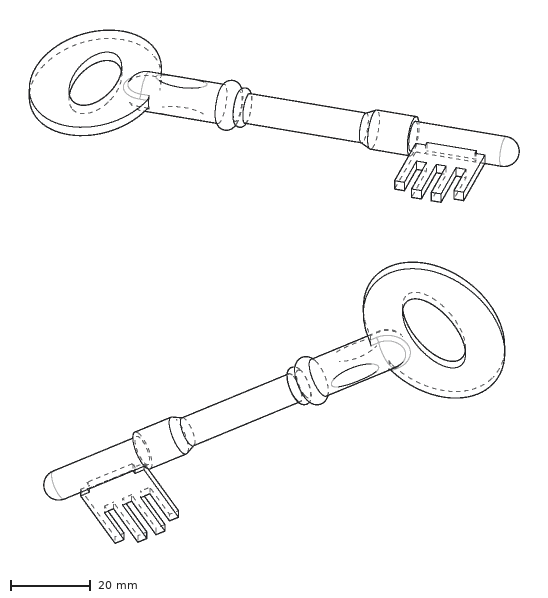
import cadquery as cq
import math

total_length = 127.0
plate_thickness = 2.5

bow_half_width = 15.9
bow_half_height = 23.0
bow_hole_half_width = 5.7
bow_hole_half_height = 12.7

shank_diameter = 10.0
shank_radius = shank_diameter / 2
shaft_radius = 3.8
ball_center_x = 29.2
bead_start = 48.6
bead_width = 4.6
bead_outer_radius = 6.3
small_bead_width = 2.5
collar_cone_start = 86.3
collar_start = 88.9
collar_end = 99.3
tip_center_x = total_length - shaft_radius

bow_fillet_radius = 1.3

facet_center_x = 38.5
facet_length = 13.3
facet_half_length = facet_length / 2
facet_depth = 0.56

bit_start = 101.5
bit_width = 18.2
tooth_count = 4
bit_pitch = bit_width / (2 * tooth_count - 1)
bit_shoulder_y = -4.8
slot_root_y = -12.6
outer_tooth_y = -22.9
inner_tooth_y = -25.3


def bow_outline(half_width, half_height, height):
    """Elliptical plate of the given height, centred on Z = 0."""
    return (
        cq.Workplane("XY", origin=(bow_half_width, 0, -height / 2))
        .ellipse(half_width, half_height)
        .extrude(height)
    )


def make_bow():
    plate = bow_outline(bow_half_width, bow_half_height, plate_thickness)
    return plate.cut(bow_outline(bow_hole_half_width, bow_hole_half_height, plate_thickness))


def make_stem():
    bead_end = bead_start + bead_width
    small_bead_end = bead_end + small_bead_width
    bead_base = bead_outer_radius - bead_width / 2
    small_bead_base = shank_radius - small_bead_width / 2
    ball_offset = shank_radius * math.sqrt(0.5)
    tip_offset = shaft_radius * math.sqrt(0.5)
    profile = (
        cq.Workplane("XY")
        .moveTo(ball_center_x - shank_radius, 0)
        .threePointArc((ball_center_x - ball_offset, ball_offset), (ball_center_x, shank_radius))
        .lineTo(bead_start + bead_width / 2, shank_radius)
        .lineTo(bead_start + bead_width / 2, small_bead_base)
        .lineTo(small_bead_end, small_bead_base)
        .lineTo(small_bead_end, shaft_radius)
        .lineTo(collar_cone_start, shaft_radius)
        .lineTo(collar_start, shank_radius)
        .lineTo(collar_end, shank_radius)
        .lineTo(collar_end, shaft_radius)
        .lineTo(tip_center_x, shaft_radius)
        .threePointArc((tip_center_x + tip_offset, tip_offset), (total_length, 0))
        .close()
    )
    stem = cut_facets(profile.revolve(360, (0, 0, 0), (1, 0, 0)))
    stem = stem.union(make_bead(bead_start, bead_width, bead_base))
    return stem.union(make_bead(bead_end, small_bead_width, small_bead_base))


def make_bead(start, width, base_radius):
    """Disc with a half-round rim."""
    return (
        cq.Workplane("XY")
        .moveTo(start, 0)
        .lineTo(start, base_radius)
        .threePointArc((start + width / 2, base_radius + width / 2), (start + width, base_radius))
        .lineTo(start + width, 0)
        .close()
        .revolve(360, (0, 0, 0), (1, 0, 0))
    )


def fillet_joint(body):
    """Round the corner between shank and bow on both faces of the bow."""
    margin = 0.1
    for face_z in (plate_thickness / 2, -plate_thickness / 2):
        joint_edges = cq.selectors.BoxSelector(
            (ball_center_x - shank_radius, -shank_radius, face_z - margin),
            (2 * bow_half_width, shank_radius, face_z + margin),
        )
        body = body.edges(joint_edges).fillet(bow_fillet_radius)
    return body


def cut_facets(stem):
    """Hollow the top and bottom of the shank with large crosswise cylinders."""
    cutter_radius = (facet_half_length**2 + facet_depth**2) / (2 * facet_depth)
    cutter_z = shank_radius - facet_depth + cutter_radius
    for side in (1, -1):
        cutter = (
            cq.Workplane("XZ")
            .center(facet_center_x, side * cutter_z)
            .circle(cutter_radius)
            .extrude(shank_radius, both=True)
        )
        stem = stem.cut(cutter)
    return stem


def bit_block(start_x, end_x, top_y, bottom_y):
    """Flat block of the bit, as thick as the bow."""
    center = ((start_x + end_x) / 2, (top_y + bottom_y) / 2, 0)
    return cq.Workplane("XY", origin=center).box(end_x - start_x, top_y - bottom_y, plate_thickness)


def make_bit():
    bit_end = bit_start + bit_width
    bit = bit_block(bit_start, bit_end, bit_shoulder_y, slot_root_y)
    bit = bit.union(bit_block(bit_start + bit_pitch, bit_end - bit_pitch, 0, slot_root_y))
    for index in range(tooth_count):
        tooth_start = bit_start + 2 * index * bit_pitch
        is_outer = index in (0, tooth_count - 1)
        tooth_y = outer_tooth_y if is_outer else inner_tooth_y
        bit = bit.union(bit_block(tooth_start, tooth_start + bit_pitch, bit_shoulder_y, tooth_y))
    return bit


result = fillet_joint(make_stem().union(make_bow())).union(make_bit())